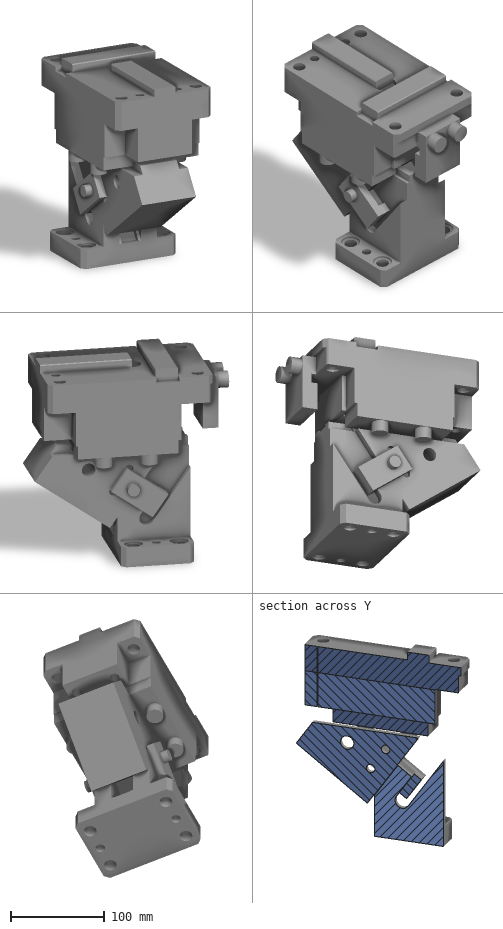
import cadquery as cq
import math

SLOPE_ANGLE = math.radians(55)
SLOPE_SIN = math.sin(SLOPE_ANGLE)
SLOPE_COS = math.cos(SLOPE_ANGLE)

TOTAL_WIDTH = 115.0
CORNER_CHAMFER = 5.0
BOLT_HOLE_DIAMETER = 13.5
DOWEL_DIAMETER = 10.0
LARGE_HEAD_DIAMETER = 18.0
LARGE_HEAD_HEIGHT = 12.0
HOLE_ROW_Y = 45.0
REACH = 328.5

BASE_LENGTH = 80.0
FOOT_HEIGHT = 22.0
COLUMN_WIDTH = 65.0
BASE_TOP_Z = 130.0
LEDGE_Z = 121.5
CREST_WIDTH = 39.2
TONGUE_WIDTH = 46.0
FLANGE_THICKNESS = 20.0
FLANGE_START = -53.0
SLOT_WIDTH = 16.0
SLOT_END = -83.7
CHANNEL_WIDTH = 20.0
CHANNEL_DEPTH = 20.0
CHANNEL_MOUTH_WIDTH = 26.0
CHANNEL_MOUTH_DEPTH = 15.0
FOOT_HOLE_SPACING = 50.0
SPOTFACE_DIAMETER = 20.4
SPOTFACE_DEPTH = 2.0

WEDGE_THICKNESS = 100.0
WEDGE_CORNER_X = 145.0
WEDGE_TIP_X = 170.0
NECK_WIDTH = 44.0
HEAD_START_X = 10.0
HEAD_LENGTH = 150.0
HEAD_WIDTH = COLUMN_WIDTH
HEAD_BOTTOM_Z = 140.0
HEAD_TOP_Z = 180.0
LIFTING_HOLE_X = 111.3
LIFTING_HOLE_Z = 103.8
LIFTING_HOLE_DIAMETER = 15.0
GUIDE_KEY_START = -16.5

RETAINER_OUTER = 25.0
RETAINER_INNER = -30.0
RETAINER_TOP = -48.0
RETAINER_WIDTH = 30.0
RETAINER_THICKNESS = 8.5
HOOK_LENGTH = 10.0
HOOK_DEPTH = 8.5
RELIEF_RADIUS = 4.5
RELIEF_DEPTH = 5.0
SMALL_HEAD_DIAMETER = 13.0
SMALL_HEAD_HEIGHT = 8.0
SMALL_HEAD_ACROSS = 7.5

HOLDER_START_X = -20.0
HOLDER_END_X = HEAD_START_X + HEAD_LENGTH
HOLDER_TOP_Z = 210.0
PLATE_BOTTOM_Z = HEAD_TOP_Z
REAR_PLATE_BOTTOM_Z = 178.0
CHEEK_START_X = 15.0
CHEEK_END_X = 130.0
RAIL_BOTTOM_Z = 125.0
RAIL_START_X = 18.0
RAIL_END_X = 128.0
RAIL_GAP = 45.0
HOLDER_HOLE_INSET = 15.0
HOLDER_DOWEL_Y = 22.5
RAIL_BOLT_SPACING = 50.0
RAIL_BOLT_Y = 47.5

KEY_WIDTH = 25.0
KEY_LENGTH = 100.0
KEY_TOP_Z = 219.0
KEYWAY_FLOOR_Z = 205.0
KEY_CHAMFER = 1.0
CROSS_KEY_START_X = 17.0

SEAT_DEPTH = 3.0
SEAT_TOP_Z = 200.0
BRACKET_WIDTH = 50.0
BRACKET_FRONT_X = -32.0
BRACKET_BACK_X = -15.0
BRACKET_NOTCH_X = -22.0
BRACKET_NOTCH_Z = 170.0
STOP_BOLT_Y = 15.0
STOP_BOLT_Z = 190.7

SLOPE_TOP_X = WEDGE_CORNER_X - WEDGE_THICKNESS / SLOPE_SIN
WEDGE_LENGTH = (WEDGE_TIP_X - SLOPE_TOP_X - WEDGE_THICKNESS * SLOPE_SIN) / SLOPE_COS
RETAINER_BOTTOM = RETAINER_TOP - RETAINER_WIDTH
SLOT_BOTTOM = -FLANGE_THICKNESS - SLOT_WIDTH
HOLDER_DOWEL_X = HOLDER_END_X - HOLDER_HOLE_INSET
SEAT_X = HOLDER_START_X + SEAT_DEPTH


def block(x_range, y_range, z_range):
    """Box spanning the given ranges."""
    sizes = [high - low for low, high in (x_range, y_range, z_range)]
    low_corner = (x_range[0], y_range[0], z_range[0])
    return cq.Workplane("XY").box(*sizes, centered=False).translate(low_corner)


def centred(width):
    """Range of the given width about zero."""
    return (-width / 2, width / 2)


def slope_plane(y):
    """Workplane facing -Y whose axes run across and along the slope."""
    origin = (SLOPE_TOP_X, y, BASE_TOP_Z)
    return cq.Workplane(cq.Plane(origin, xDir=(SLOPE_SIN, 0, SLOPE_COS), normal=(0, -1, 0)))


def slope_block(across, along, y_range):
    """Box aligned with the slope."""
    low_corner = (across[0], along[0])
    return (
        slope_plane(y_range[1])
        .moveTo(*low_corner)
        .rect(across[1] - across[0], along[1] - along[0], centered=False)
        .extrude(y_range[1] - y_range[0])
    )


def slope_disc(across, along, radius, y_range):
    """Round bar along Y, placed on the slope."""
    return slope_plane(y_range[1]).moveTo(across, along).circle(radius).extrude(y_range[1] - y_range[0])


def side_range(side, inner, outer):
    """Y range between two distances from the middle, on the side given by +1 or -1."""
    return tuple(sorted((side * inner, side * outer)))


def upright_cylinders(points, diameter, z_range):
    """Vertical cylinders at the given (x, y) points."""
    bottom, top = z_range
    plane = cq.Workplane("XY", origin=(0, 0, bottom))
    return plane.pushPoints(points).circle(diameter / 2).extrude(top - bottom)


def make_guide_profile(along):
    """Stepped bar under the slope: the channel in the base and the slider key that fills it."""
    narrow_part = slope_block((-CHANNEL_DEPTH, 0), along, centred(CHANNEL_WIDTH))
    return narrow_part.union(slope_block((-CHANNEL_MOUTH_DEPTH, 0), along, centred(CHANNEL_MOUTH_WIDTH)))


def make_base():
    foot = block((0, BASE_LENGTH), centred(TOTAL_WIDTH), (0, FOOT_HEIGHT))
    foot = foot.edges("|Z").chamfer(CORNER_CHAMFER)
    return drill_foot(foot.union(make_column()))


def make_column():
    column = block((0, BASE_LENGTH), centred(COLUMN_WIDTH), (0, BASE_TOP_Z))
    column = column.cut(slope_block((0, REACH), (-REACH, REACH), centred(REACH)))
    for side in (1, -1):
        column = column.cut(make_side_groove(side))
        ledge_y = side_range(side, CREST_WIDTH / 2, REACH)
        column = column.cut(block((0, BASE_LENGTH), ledge_y, (LEDGE_Z, BASE_TOP_Z)))
    return column.cut(make_guide_profile((-REACH, REACH)))


def make_side_groove(side):
    """Slot for the retainer hook, open to the slope above the flange that the hook holds."""
    y_range = side_range(side, TONGUE_WIDTH / 2, REACH)
    slot = slope_block((SLOT_BOTTOM, -FLANGE_THICKNESS), (SLOT_END, REACH), y_range)
    slot_end = slope_disc(SLOT_BOTTOM + SLOT_WIDTH / 2, SLOT_END, SLOT_WIDTH / 2, y_range)
    entrance = slope_block((-FLANGE_THICKNESS, 0), (FLANGE_START, REACH), y_range)
    return slot.union(slot_end).union(entrance)


def drill_foot(base):
    middle_x = BASE_LENGTH / 2
    bolt_points = [
        (middle_x + end * FOOT_HOLE_SPACING / 2, side * HOLE_ROW_Y) for end in (1, -1) for side in (1, -1)
    ]
    dowel_points = [(middle_x, side * HOLE_ROW_Y) for side in (1, -1)]
    base = base.cut(upright_cylinders(bolt_points, BOLT_HOLE_DIAMETER, (0, FOOT_HEIGHT)))
    spotface_z = (FOOT_HEIGHT - SPOTFACE_DEPTH, FOOT_HEIGHT)
    base = base.cut(upright_cylinders(bolt_points, SPOTFACE_DIAMETER, spotface_z))
    return base.cut(upright_cylinders(dowel_points, DOWEL_DIAMETER, (0, FOOT_HEIGHT)))


def make_slider():
    slider = make_wedge().union(make_head())
    slider = slider.union(make_guide_profile((RETAINER_BOTTOM, GUIDE_KEY_START)))
    for side in (1, -1):
        slider = slider.cut(make_reliefs(side)).union(make_retainer(side))
    return slider


def make_wedge():
    x_range = (0, WEDGE_TIP_X)
    wedge = slope_block((0, WEDGE_THICKNESS), (-WEDGE_LENGTH, REACH), centred(COLUMN_WIDTH))
    neck_envelope = block(x_range, centred(NECK_WIDTH), (0, BASE_TOP_Z))
    neck_link = block((0, RAIL_END_X), centred(NECK_WIDTH), (BASE_TOP_Z, HEAD_BOTTOM_Z))
    envelope = block(x_range, centred(COLUMN_WIDTH), (0, LEDGE_Z)).union(neck_envelope).union(neck_link)
    lifting_hole = (
        cq.Workplane("XZ", origin=(LIFTING_HOLE_X, 0, LIFTING_HOLE_Z))
        .circle(LIFTING_HOLE_DIAMETER / 2)
        .extrude(REACH, both=True)
    )
    return wedge.intersect(envelope).cut(lifting_hole)


def make_head():
    head = block((HEAD_START_X, HOLDER_END_X), centred(HEAD_WIDTH), (HEAD_BOTTOM_Z, HEAD_TOP_Z))
    return head.cut(upright_cylinders(holder_dowel_points(), DOWEL_DIAMETER, (HEAD_BOTTOM_Z, HEAD_TOP_Z)))


def make_reliefs(side):
    """Round corner reliefs in the wedge at the two outer corners of the retainer plate."""
    y_range = side_range(side, COLUMN_WIDTH / 2 - RELIEF_DEPTH, COLUMN_WIDTH / 2)
    across = RETAINER_OUTER - RELIEF_RADIUS
    upper = slope_disc(across, RETAINER_TOP, RELIEF_RADIUS, y_range)
    return upper.union(slope_disc(across, RETAINER_BOTTOM, RELIEF_RADIUS, y_range))


def make_retainer(side):
    """Plate on the side of the wedge, its hook reaching into the slot of the base."""
    seat_y = COLUMN_WIDTH / 2
    outer_y = seat_y + RETAINER_THICKNESS
    along = (RETAINER_BOTTOM, RETAINER_TOP)
    plate = slope_block((RETAINER_INNER, RETAINER_OUTER), along, side_range(side, seat_y, outer_y))
    hook_y = side_range(side, seat_y - HOOK_DEPTH, outer_y)
    hook = slope_block((RETAINER_INNER, RETAINER_INNER + HOOK_LENGTH), along, hook_y)
    head_y = side_range(side, outer_y, outer_y + SMALL_HEAD_HEIGHT)
    bolt_head = slope_disc(SMALL_HEAD_ACROSS, sum(along) / 2, SMALL_HEAD_DIAMETER / 2, head_y)
    return plate.union(hook).union(bolt_head)


def holder_dowel_points():
    return [(HOLDER_DOWEL_X, side * HOLDER_DOWEL_Y) for side in (1, -1)]


def make_holder():
    holder = make_holder_plate().union(make_cheeks_and_rails())
    holder = holder.cut(block((-REACH, REACH), centred(HEAD_WIDTH), (HEAD_BOTTOM_Z, HEAD_TOP_Z)))
    holder = holder.cut(block((-REACH, REACH), centred(RAIL_GAP), (0, HEAD_BOTTOM_Z)))
    holder = drill_holder(fit_keys(holder))
    return holder.union(make_rail_bolts()).union(make_stop_bracket())


def make_holder_plate():
    width = centred(TOTAL_WIDTH)
    plate = block((HOLDER_START_X, HOLDER_END_X), width, (REAR_PLATE_BOTTOM_Z, HOLDER_TOP_Z))
    plate = plate.edges("|Z").chamfer(CORNER_CHAMFER)
    plate = plate.cut(block((HOLDER_START_X, CHEEK_START_X), width, (REAR_PLATE_BOTTOM_Z, PLATE_BOTTOM_Z)))
    return plate.cut(block((HOLDER_START_X, SEAT_X), width, (PLATE_BOTTOM_Z, SEAT_TOP_Z)))


def make_cheeks_and_rails():
    width = centred(TOTAL_WIDTH)
    cheeks = block((CHEEK_START_X, CHEEK_END_X), width, (HEAD_BOTTOM_Z, PLATE_BOTTOM_Z))
    return cheeks.union(block((RAIL_START_X, RAIL_END_X), width, (RAIL_BOTTOM_Z, HEAD_BOTTOM_Z)))


def drill_holder(holder):
    hole_x = (HOLDER_START_X + HOLDER_HOLE_INSET, HOLDER_DOWEL_X)
    bolt_points = [(x, side * HOLE_ROW_Y) for x in hole_x for side in (1, -1)]
    z_range = (REAR_PLATE_BOTTOM_Z, HOLDER_TOP_Z)
    holder = holder.cut(upright_cylinders(bolt_points, BOLT_HOLE_DIAMETER, z_range))
    return holder.cut(upright_cylinders(holder_dowel_points(), DOWEL_DIAMETER, z_range))


def fit_keys(holder):
    """Cross key in a keyway over the full width, and a long key in a round-ended keyway."""
    keyway_z = (KEYWAY_FLOOR_Z, HOLDER_TOP_Z)
    key_z = (KEYWAY_FLOOR_Z, KEY_TOP_Z)
    cross_x = (CROSS_KEY_START_X, CROSS_KEY_START_X + KEY_WIDTH)
    cross_key = block(cross_x, centred(KEY_LENGTH), key_z)
    cross_key = cross_key.edges("|Y and >Z").chamfer(KEY_CHAMFER)

    long_x = (HOLDER_END_X - KEY_LENGTH, HOLDER_END_X)
    long_key = block(long_x, centred(KEY_WIDTH), key_z)
    long_key = long_key.edges("|X and >Z").chamfer(KEY_CHAMFER)

    holder = holder.cut(block(cross_x, centred(TOTAL_WIDTH), keyway_z))
    holder = holder.cut(block(long_x, centred(KEY_WIDTH), keyway_z))
    holder = holder.cut(upright_cylinders([(long_x[0], 0)], KEY_WIDTH, keyway_z))
    return holder.union(cross_key).union(long_key)


def make_rail_bolts():
    middle_x = (RAIL_START_X + RAIL_END_X) / 2
    points = [
        (middle_x + end * RAIL_BOLT_SPACING / 2, side * RAIL_BOLT_Y) for end in (1, -1) for side in (1, -1)
    ]
    return upright_cylinders(points, LARGE_HEAD_DIAMETER, (RAIL_BOTTOM_Z - LARGE_HEAD_HEIGHT, RAIL_BOTTOM_Z))


def make_stop_bracket():
    """Bracket on the front seat of the plate, notched below it, with two bolt heads."""
    outline = [
        (BRACKET_FRONT_X, HEAD_BOTTOM_Z),
        (BRACKET_BACK_X, HEAD_BOTTOM_Z),
        (BRACKET_BACK_X, BRACKET_NOTCH_Z),
        (BRACKET_NOTCH_X, BRACKET_NOTCH_Z),
        (BRACKET_NOTCH_X, PLATE_BOTTOM_Z),
        (SEAT_X, PLATE_BOTTOM_Z),
        (SEAT_X, SEAT_TOP_Z),
        (BRACKET_FRONT_X, SEAT_TOP_Z),
    ]
    bracket = cq.Workplane("XZ").polyline(outline).close().extrude(BRACKET_WIDTH / 2, both=True)
    bolt_heads = (
        cq.Workplane("YZ", origin=(BRACKET_FRONT_X, 0, STOP_BOLT_Z))
        .pushPoints([(side * STOP_BOLT_Y, 0) for side in (1, -1)])
        .circle(LARGE_HEAD_DIAMETER / 2)
        .extrude(-LARGE_HEAD_HEIGHT)
    )
    return bracket.union(bolt_heads)


base = make_base().solids()
slider = make_slider().solids()
holder = make_holder().solids()
result = cq.Compound.makeCompound([base.val(), slider.val(), holder.val()])